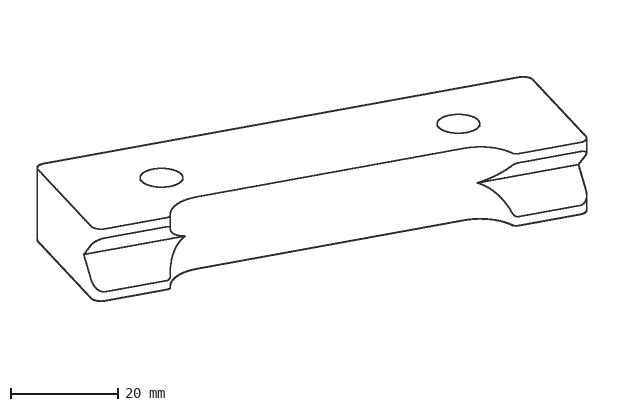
import cadquery as cq
import math

width = 30.0
length = 100.0
height = 15.0
corner_radius = 2.0

recess_depth = 6.0
recess_length = 70.0
recess_arc_radius = 8.0
lip_radius = 1.0

hole_diameter = 8.0
hole_spacing = 60.0
hole_from_back = 14.0

groove_depth = 5.6

side_x = width / 2
recess_x = side_x - recess_depth
arc_center_x = recess_x + recess_arc_radius
arc_center_y = recess_length / 2 - recess_arc_radius


def make_block():
    block = cq.Workplane("XY").box(width, length, height)
    return block.edges("|Z").fillet(corner_radius)


def make_recess():
    """A rounded slot whose near wall is the recess floor."""
    slot_width = 2 * recess_arc_radius
    return (
        cq.Workplane("XY")
        .center(arc_center_x, 0)
        .rect(slot_width, recess_length)
        .extrude(height / 2, both=True)
        .edges("|Z and <X")
        .fillet(recess_arc_radius)
    )


def round_lips(body):
    """Round the two sharp edges where the recess arcs meet the side face."""
    rise = math.sqrt(recess_arc_radius**2 - (arc_center_x - side_x) ** 2)
    lip_y = arc_center_y + rise
    for y in (-lip_y, lip_y):
        lip = cq.selectors.NearestToPointSelector((side_x, y, 0))
        body = body.edges("|Z").edges(lip).fillet(lip_radius)
    return body


def make_groove():
    return (
        cq.Workplane("XZ")
        .moveTo(side_x - groove_depth, 0)
        .lineTo(side_x, groove_depth)
        .lineTo(side_x, -groove_depth)
        .close()
        .extrude(length / 2, both=True)
    )


def make_holes():
    hole_x = hole_from_back - width / 2
    return (
        cq.Workplane("XY")
        .pushPoints([(hole_x, -hole_spacing / 2), (hole_x, hole_spacing / 2)])
        .circle(hole_diameter / 2)
        .extrude(height / 2, both=True)
    )


body = round_lips(make_block().cut(make_recess()))
result = body.cut(make_groove()).cut(make_holes())